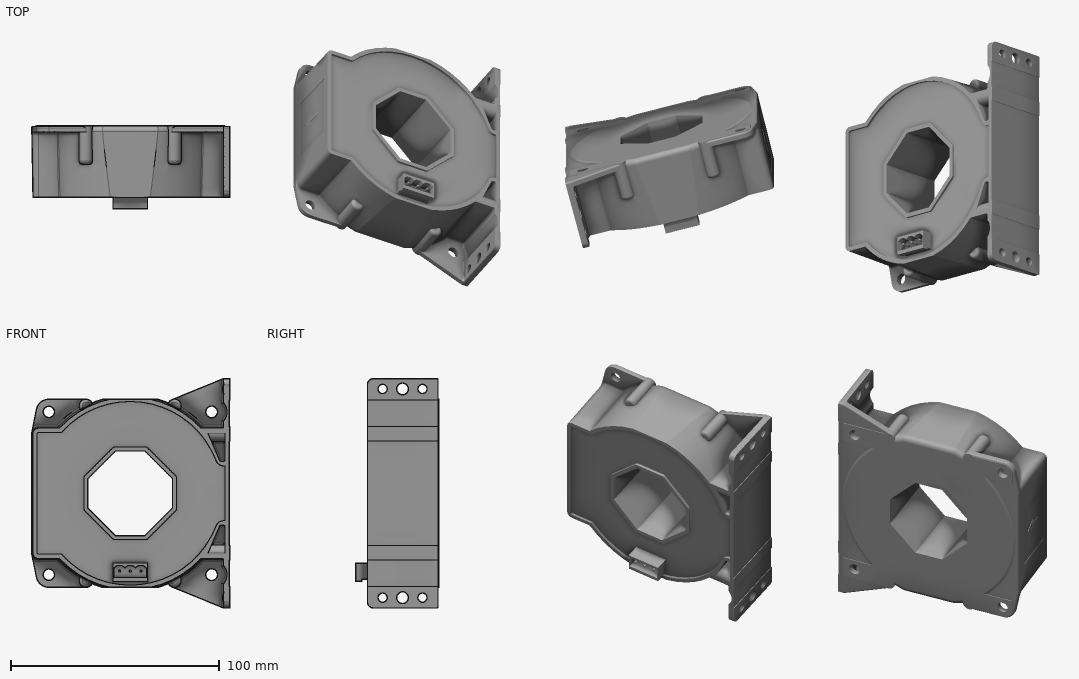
import cadquery as cq
import math


TOTAL_DEPTH = 39.87
HOUSING_DEPTH = 34.3
TOTAL_WIDTH = 95.0
TOTAL_HEIGHT = 110.0
X_LEFT = -47.25
X_RIGHT = X_LEFT + TOTAL_WIDTH
WALL_HALF_HEIGHT = TOTAL_HEIGHT / 2
PAD_HEIGHT = 0.3

FLANGE_BACK = HOUSING_DEPTH - PAD_HEIGHT
FLANGE_THICKNESS = 2.7
FLANGE_FRONT = FLANGE_BACK - FLANGE_THICKNESS
FLANGE_EDGE_RADIUS = 0.8
ROOT_FILLET = 1.0
CORNER_HOLE_PITCH = 78.0
CORNER_HOLE_OFFSET = CORNER_HOLE_PITCH / 2
LEFT_HOLE_DIAMETER = 5.3
RIGHT_HOLE_DIAMETER = 5.5
CORNER_RADIUS = 6.1
STRAIGHT_EDGE_HALF_HEIGHT = 29.0
LEFT_BLANK_MARGIN = 3.0

HOUSING_HALF_HEIGHT = CORNER_HOLE_OFFSET + CORNER_RADIUS
FRONT_RADIUS = 46.1
BACK_RADIUS = 47.1
DRUM_BACK_RADIUS = 2.7
SLAB_HALF_HEIGHT = 31.8
SLAB_RIGHT = 46.5
SLAB_CORNER_RADIUS = 3.2
DRAFT_ANGLE = 1.0

RECESS_DEPTH = 1.2
RECESS_RADIUS = 44.0
RECESS_LEFT = -44.7
RECESS_RIGHT = 45.4
RECESS_LEFT_HALF_HEIGHT = 29.2
RECESS_RIGHT_HALF_HEIGHT = 13.1
RECESS_CORNER_RADIUS = 1.0
RECESS_NECK_RADIUS = 4.0

WINDOW_SIZE = 40.5
WINDOW_CHAMFER = 13.2
WINDOW_RIM = 2.0

RIB_DIAMETER = 6.5
RIB_X = 21.2
RIB_Z = HOUSING_HALF_HEIGHT - RIB_DIAMETER / 2
RIB_FRONT = 15.8
RIB_TIP_FILLET = 1.5

WALL_OUTER = X_RIGHT - PAD_HEIGHT
WALL_INNER = 44.7
WALL_CORNER_RADIUS = 3.0
WALL_HOLE_Z = 50.0
WALL_HOLE_Y = 16.9
WALL_HOLE_PITCH = 9.55
WALL_MIDDLE_HOLE_DIAMETER = 5.5
WALL_OUTER_HOLE_DIAMETER = 4.3
SPOTFACE_DIAMETER = 9.5
WALL_PADS = ((25.0, 32.0), (44.6, WALL_HALF_HEIGHT))
RELIEF_DIAMETER = 13.0
RELIEF_X = 39.9
JUNCTION_FILLET = 0.8

BACK_PAD_LEFT = -44.0
BACK_PAD_RIGHT = 45.2
BACK_PAD_BOTTOM = 34.0

POCKET_LEFT = 37.3
POCKET_TIP_LEFT = 43.0
POCKET_RIGHT = 45.4
POCKET_TOP = 28.6
POCKET_TIP = 15.3
POCKET_LEAD_IN = 3.9
POCKET_CORNER_RADIUS = 0.9
POCKET_FLOOR_FILLET = 0.85

LABEL_DEPTH = 0.2
LABEL_FRONT = 3.8
LABEL_BACK = 27.0
LABEL_HALF_HEIGHT = 15.85
ARROW_TIP = 22.6
ARROW_NECK = 17.1
ARROW_TAIL = 10.8
ARROW_HEAD_HALF = 3.5
ARROW_SHAFT_HALF = 1.35

CONNECTOR_FRONT = HOUSING_DEPTH - TOTAL_DEPTH
CONNECTOR_HALF_WIDTH = 8.3
CONNECTOR_TOP = -33.4
CONNECTOR_BOTTOM = -42.2
CONNECTOR_STEP_Y = -2.55
CONNECTOR_STEP_BOTTOM = -41.3
SOCKET_DEPTH = 5.0
SOCKET_HALF_WIDTH = 7.8
SOCKET_BOTTOM = -40.4
SOCKET_SHOULDER = -35.7
SOCKET_TOP = -34.6
SOCKET_CREST_HALF_WIDTH = 1.25
PIN_PITCH = 5.08
PIN_POSITIONS = (-PIN_PITCH, 0, PIN_PITCH)
PIN_DIAMETER = 1.0
PIN_Z = -37.3
PIN_SETBACK = 0.7


def profile_at(y):
    """Sketch plane at depth y; its local axes are X and Z and it extrudes towards the front."""
    return cq.Workplane("XZ", origin=(0, y, 0))


def box(x_range, y_range, z_range):
    """Axis-aligned box between pairs of limits."""
    sizes = [high - low for low, high in (x_range, y_range, z_range)]
    corner = (x_range[0], y_range[0], z_range[0])
    return cq.Workplane("XY").box(*sizes, centered=False).translate(corner)


def with_mirror(solid):
    """Join a feature with its copy on the other side of z = 0."""
    return solid.union(solid.mirror("XY"))


def housing():
    """Drafted slab joined to a drafted round drum, cut flat at top and bottom."""
    slab = (
        profile_at(FLANGE_BACK)
        .sketch()
        .push([((X_LEFT + SLAB_RIGHT) / 2, 0)])
        .rect(SLAB_RIGHT - X_LEFT, 2 * SLAB_HALF_HEIGHT)
        .reset()
        .vertices("<X")
        .fillet(SLAB_CORNER_RADIUS)
        .finalize()
        .extrude(FLANGE_BACK, taper=DRAFT_ANGLE)
    )
    taper = math.degrees(math.atan((BACK_RADIUS - FRONT_RADIUS) / HOUSING_DEPTH))
    drum = (
        profile_at(HOUSING_DEPTH)
        .circle(BACK_RADIUS)
        .extrude(HOUSING_DEPTH, taper=taper)
        .faces(">Y")
        .edges()
        .fillet(DRUM_BACK_RADIUS)
    )
    flats = (
        box((-BACK_RADIUS, BACK_RADIUS), (0, HOUSING_DEPTH), (-HOUSING_HALF_HEIGHT, HOUSING_HALF_HEIGHT))
        .edges(">Y and |X")
        .fillet(DRUM_BACK_RADIUS)
    )
    return slab.union(drum.intersect(flats))


def left_flange_outline(y):
    """Upper left mounting ear, rounded about its screw hole."""
    hole = (-CORNER_HOLE_OFFSET, CORNER_HOLE_OFFSET)
    dx = hole[0] - X_LEFT
    dz = hole[1] - STRAIGHT_EDGE_HALF_HEIGHT
    direction = math.atan2(dz, dx) + math.asin(CORNER_RADIUS / math.hypot(dx, dz))
    normal = direction + math.pi / 2
    middle = (normal + math.pi / 2) / 2

    def on_corner(angle):
        return (hole[0] + CORNER_RADIUS * math.cos(angle), hole[1] + CORNER_RADIUS * math.sin(angle))

    return (
        profile_at(y)
        .moveTo(X_LEFT, 0)
        .lineTo(X_LEFT, STRAIGHT_EDGE_HALF_HEIGHT)
        .lineTo(*on_corner(normal))
        .threePointArc(on_corner(middle), (hole[0], HOUSING_HALF_HEIGHT))
        .lineTo(-RIB_X, HOUSING_HALF_HEIGHT)
        .lineTo(-RIB_X, 0)
        .close()
    )


def right_flange_outline(y):
    """Upper right ear, its sloping edge running from the rib to the end of the side wall."""
    dx = WALL_INNER - RIB_X
    dz = WALL_HALF_HEIGHT - RIB_Z
    radius = RIB_DIAMETER / 2
    angle = math.atan2(dz, dx) + math.acos(radius / math.hypot(dx, dz))
    tangent_point = (RIB_X + radius * math.cos(angle), RIB_Z + radius * math.sin(angle))
    return (
        profile_at(y)
        .moveTo(RIB_X, 0)
        .lineTo(*tangent_point)
        .lineTo(WALL_INNER, WALL_HALF_HEIGHT)
        .lineTo(WALL_INNER, 0)
        .close()
    )


def left_blank(thickness):
    """Oversize plate for the left ears, cut to outline once its root fillet is made."""
    z_limit = HOUSING_HALF_HEIGHT + LEFT_BLANK_MARGIN
    x_limits = (X_LEFT - LEFT_BLANK_MARGIN, -RIB_X)
    return box(x_limits, (FLANGE_BACK - thickness, FLANGE_BACK), (-z_limit, z_limit))


def left_waste():
    """What is left of the blank outside the left ears, whose back edges are rounded."""
    thickness = FLANGE_THICKNESS + 2 * ROOT_FILLET
    ears = with_mirror(left_flange_outline(FLANGE_BACK).extrude(thickness)).clean()
    ears = ears.faces(">Y").edges("not >X").fillet(FLANGE_EDGE_RADIUS)
    return left_blank(thickness).cut(ears)


def right_ears():
    """Right pair of ears with rounded back edges."""
    ears = with_mirror(right_flange_outline(FLANGE_BACK).extrude(FLANGE_THICKNESS)).clean()
    return ears.faces(">Y").edges("not |Z").fillet(FLANGE_EDGE_RADIUS)


def back_pads():
    """Thin raised strips over the ears."""
    depth = (FLANGE_BACK, HOUSING_DEPTH)
    height = (BACK_PAD_BOTTOM, HOUSING_HALF_HEIGHT - FLANGE_EDGE_RADIUS)
    left = box((BACK_PAD_LEFT, -RIB_X), depth, height)
    right = box((RIB_X, BACK_PAD_RIGHT), depth, height)
    inset_circle = (
        profile_at(HOUSING_DEPTH)
        .center(-CORNER_HOLE_OFFSET, CORNER_HOLE_OFFSET)
        .circle(CORNER_RADIUS - FLANGE_EDGE_RADIUS)
        .extrude(PAD_HEIGHT)
    )
    corner = box((BACK_PAD_LEFT, -CORNER_HOLE_OFFSET), depth, (CORNER_HOLE_OFFSET, HOUSING_HALF_HEIGHT))
    return with_mirror(left.cut(corner.cut(inset_circle)).union(right))


def ribs():
    """Round ribs along the drum, with rounded front tips."""
    centres = [(side * RIB_X, end * RIB_Z) for side in (-1, 1) for end in (-1, 1)]
    return (
        profile_at(HOUSING_DEPTH)
        .pushPoints(centres)
        .circle(RIB_DIAMETER / 2)
        .extrude(HOUSING_DEPTH - RIB_FRONT)
        .faces("<Y")
        .edges()
        .fillet(RIB_TIP_FILLET)
    )


def side_wall():
    """Tall mounting wall on the right, rounded at its corners."""
    height = (-WALL_HALF_HEIGHT, WALL_HALF_HEIGHT)
    wall = box((WALL_INNER, WALL_OUTER), (0, FLANGE_BACK), height)
    for low, high in WALL_PADS:
        wall = wall.union(with_mirror(box((WALL_OUTER, X_RIGHT), (0, FLANGE_BACK), (low, high))))
    corner_tool = (
        cq.Workplane("YZ", origin=(WALL_INNER, 0, 0))
        .center(FLANGE_BACK / 2, 0)
        .rect(FLANGE_BACK, 2 * WALL_HALF_HEIGHT)
        .extrude(X_RIGHT - WALL_INNER)
        .faces("<Y")
        .edges("|X")
        .fillet(WALL_CORNER_RADIUS)
        .faces(">Y")
        .edges("|X")
        .fillet(FLANGE_EDGE_RADIUS)
    )
    return wall.intersect(corner_tool)


def reliefs():
    """Round channels in the side wall that clear the corner screws, down to the flange."""
    return with_mirror(
        profile_at(FLANGE_FRONT)
        .center(RELIEF_X, CORNER_HOLE_OFFSET)
        .circle(RELIEF_DIAMETER / 2)
        .extrude(FLANGE_FRONT)
    )


def junction_fillet(body):
    """Round the lengthwise inside corners between slab, drum and side wall."""
    for sign in (-1, 1):
        junctions = cq.selectors.BoxSelector(
            (-FRONT_RADIUS, FLANGE_FRONT / 2 - 1, sign * (SLAB_HALF_HEIGHT - 1)),
            (SLAB_RIGHT, FLANGE_FRONT / 2 + 1, sign * (SLAB_HALF_HEIGHT + 1)),
        )
        body = body.edges(junctions).fillet(JUNCTION_FILLET)
    return body


def root_fillet(body):
    """Round the inside corners where the ears meet the housing and the side wall."""
    margin = 0.1
    y_low = FLANGE_FRONT - margin
    y_high = FLANGE_FRONT + margin
    around_left = cq.selectors.BoxSelector((X_LEFT - margin, y_low, -RIB_Z), (-RIB_X, y_high, RIB_Z))
    body = body.edges(around_left).fillet(ROOT_FILLET)
    for sign in (-1, 1):
        along_housing = cq.selectors.BoxSelector((RIB_X, y_low, 0), (WALL_INNER, y_high, sign * RIB_Z))
        along_wall = cq.selectors.BoxSelector(
            (WALL_INNER - JUNCTION_FILLET, y_low, 0), (WALL_OUTER, y_high, sign * WALL_HALF_HEIGHT)
        )
        body = body.edges(along_housing + along_wall).fillet(ROOT_FILLET)
    return body


def window_outline(y):
    """Square with chamfered corners."""
    half = WINDOW_SIZE / 2
    short = half - WINDOW_CHAMFER
    points = [
        (half, short), (short, half), (-short, half), (-half, short),
        (-half, -short), (-short, -half), (short, -half), (half, -short),
    ]
    return profile_at(y).polyline(points).close()


def front_recess():
    """Sunken front face; the drum, the left slab and a narrow right neck leave a thin rim."""
    def bar(x_low, x_high, half_height):
        return box((x_low, x_high), (0, RECESS_DEPTH), (-half_height, half_height))

    recess = profile_at(RECESS_DEPTH).circle(RECESS_RADIUS).extrude(RECESS_DEPTH)
    left = bar(RECESS_LEFT, 0, RECESS_LEFT_HALF_HEIGHT)
    left = left.edges("|Y and <X").fillet(RECESS_CORNER_RADIUS)
    recess = recess.union(left).union(bar(0, RECESS_RIGHT, RECESS_RIGHT_HALF_HEIGHT))
    neck_x = math.sqrt(RECESS_RADIUS**2 - RECESS_RIGHT_HALF_HEIGHT**2)
    neck_corners = cq.selectors.BoxSelector(
        (neck_x - 1, 0, -RECESS_RIGHT_HALF_HEIGHT - 1),
        (neck_x + 1, RECESS_DEPTH, RECESS_RIGHT_HALF_HEIGHT + 1),
    )
    recess = recess.edges("|Y").edges(neck_corners).fillet(RECESS_NECK_RADIUS)
    rim = (
        window_outline(RECESS_DEPTH)
        .extrude(RECESS_DEPTH)
        .faces("<Y")
        .wires()
        .toPending()
        .offset2D(WINDOW_RIM)
        .extrude(-RECESS_DEPTH)
    )
    return recess.cut(rim)


def triangle_pockets():
    """Triangular pockets down to the flange, the outer wall rounded off at the front."""
    triangle = (
        profile_at(FLANGE_FRONT)
        .polyline(
            [
                (POCKET_LEFT, POCKET_TOP),
                (POCKET_RIGHT, POCKET_TOP),
                (POCKET_RIGHT, POCKET_TIP),
                (POCKET_TIP_LEFT, POCKET_TIP),
            ]
        )
        .close()
        .extrude(FLANGE_FRONT)
        .edges("|Y and <Z")
        .fillet(POCKET_CORNER_RADIUS)
    )
    throat = POCKET_TOP - POCKET_LEAD_IN
    bulge = POCKET_LEAD_IN * math.sqrt(0.5)
    side_profile = (
        cq.Workplane("YZ", origin=(POCKET_LEFT, 0, 0))
        .moveTo(0, 0)
        .lineTo(0, POCKET_TOP)
        .threePointArc((POCKET_LEAD_IN - bulge, POCKET_TOP - bulge), (POCKET_LEAD_IN, throat))
        .lineTo(FLANGE_FRONT, throat)
        .lineTo(FLANGE_FRONT, 0)
        .close()
        .extrude(POCKET_RIGHT - POCKET_LEFT)
    )
    pocket = triangle.intersect(side_profile).faces(">Y").edges().fillet(POCKET_FLOOR_FILLET)
    return with_mirror(pocket)


def corner_holes():
    """Screw holes through the four ears, slightly larger on the right."""
    tool = cq.Workplane("XY")
    for side, diameter in ((-1, LEFT_HOLE_DIAMETER), (1, RIGHT_HOLE_DIAMETER)):
        x = side * CORNER_HOLE_OFFSET
        hole = profile_at(HOUSING_DEPTH).center(x, CORNER_HOLE_OFFSET).circle(diameter / 2)
        tool = tool.add(with_mirror(hole.extrude(HOUSING_DEPTH - FLANGE_FRONT)))
    return tool.combine()


def wall_holes():
    """Three holes at each end of the side wall, the rear one spotfaced through the root fillet."""
    plane = cq.Workplane("YZ", origin=(WALL_INNER, 0, 0))
    depth = X_RIGHT - WALL_INNER
    outer = [(WALL_HOLE_Y + side * WALL_HOLE_PITCH, WALL_HOLE_Z) for side in (-1, 1)]
    middle_hole = plane.center(WALL_HOLE_Y, WALL_HOLE_Z).circle(WALL_MIDDLE_HOLE_DIAMETER / 2).extrude(depth)
    outer_holes = plane.pushPoints(outer).circle(WALL_OUTER_HOLE_DIAMETER / 2).extrude(depth)
    rear_y = WALL_HOLE_Y + WALL_HOLE_PITCH
    spotface = plane.center(rear_y, WALL_HOLE_Z).circle(SPOTFACE_DIAMETER / 2).extrude(-ROOT_FILLET)
    return with_mirror(middle_hole.union(outer_holes).union(spotface))


def label_recess(body):
    """Shallow label field following the drafted side, with an arrow left standing in it."""
    slope = math.tan(math.radians(DRAFT_ANGLE))
    floor_back = X_LEFT + slope * (FLANGE_BACK - LABEL_BACK) + LABEL_DEPTH
    floor_front = X_LEFT + slope * (FLANGE_BACK - LABEL_FRONT) + LABEL_DEPTH
    field = (
        cq.Workplane("XY", origin=(0, 0, -LABEL_HALF_HEIGHT))
        .polyline(
            [
                (X_LEFT, LABEL_FRONT),
                (floor_front, LABEL_FRONT),
                (floor_back, LABEL_BACK),
                (X_LEFT, LABEL_BACK),
            ]
        )
        .close()
        .extrude(2 * LABEL_HALF_HEIGHT)
    )
    arrow = (
        cq.Workplane("YZ", origin=(X_LEFT, 0, 0))
        .polyline(
            [
                (ARROW_TIP, 0),
                (ARROW_NECK, ARROW_HEAD_HALF),
                (ARROW_NECK, ARROW_SHAFT_HALF),
                (ARROW_TAIL, ARROW_SHAFT_HALF),
                (ARROW_TAIL, -ARROW_SHAFT_HALF),
                (ARROW_NECK, -ARROW_SHAFT_HALF),
                (ARROW_NECK, -ARROW_HEAD_HALF),
            ]
        )
        .close()
        .extrude(floor_front - X_LEFT)
    )
    return body.cut(field.cut(arrow))


def socket_outline():
    """Connector opening with one trapezoidal crest above each pin."""
    points = [(-SOCKET_HALF_WIDTH, SOCKET_BOTTOM), (-SOCKET_HALF_WIDTH, SOCKET_SHOULDER)]
    for centre in PIN_POSITIONS:
        points += [
            (centre - PIN_PITCH / 2, SOCKET_SHOULDER),
            (centre - SOCKET_CREST_HALF_WIDTH, SOCKET_TOP),
            (centre + SOCKET_CREST_HALF_WIDTH, SOCKET_TOP),
        ]
    points += [
        (PIN_POSITIONS[-1] + PIN_PITCH / 2, SOCKET_SHOULDER),
        (SOCKET_HALF_WIDTH, SOCKET_SHOULDER),
        (SOCKET_HALF_WIDTH, SOCKET_BOTTOM),
    ]
    socket_floor = CONNECTOR_FRONT + SOCKET_DEPTH
    return profile_at(socket_floor).polyline(points).close()


def connector():
    """Open-fronted block on the sunken face, with a lip below and three pins inside."""
    width = (-CONNECTOR_HALF_WIDTH, CONNECTOR_HALF_WIDTH)
    block = box(width, (CONNECTOR_FRONT, RECESS_DEPTH), (CONNECTOR_STEP_BOTTOM, CONNECTOR_TOP))
    lip = box(width, (CONNECTOR_FRONT, CONNECTOR_STEP_Y), (CONNECTOR_BOTTOM, CONNECTOR_STEP_BOTTOM))
    pins = (
        profile_at(CONNECTOR_FRONT + SOCKET_DEPTH)
        .pushPoints([(x, PIN_Z) for x in PIN_POSITIONS])
        .circle(PIN_DIAMETER / 2)
        .extrude(SOCKET_DEPTH - PIN_SETBACK)
    )
    return block.union(lip).cut(socket_outline().extrude(SOCKET_DEPTH)).union(pins)


body = housing().union(left_blank(FLANGE_THICKNESS)).union(right_ears()).union(side_wall())
body = body.cut(reliefs())
body = junction_fillet(body)
body = root_fillet(body)
body = body.cut(left_waste())
body = body.union(ribs()).union(back_pads())
body = body.cut(front_recess()).cut(triangle_pockets())
body = body.cut(window_outline(HOUSING_DEPTH).extrude(HOUSING_DEPTH))
body = body.cut(corner_holes()).cut(wall_holes())
body = label_recess(body)
result = body.union(connector())